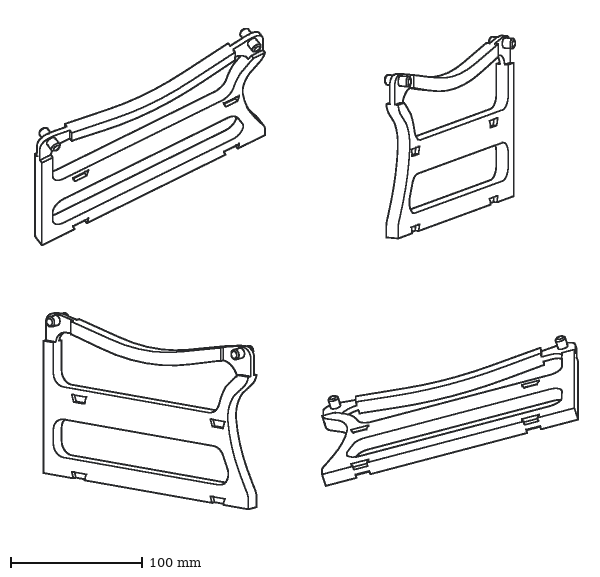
import cadquery as cq

length = 200.0
height = 125.0
thickness = 10.2
edge_width = 9.8
corner_radius = 8.0
mid_y = length / 2

shoulder_y = 14.8
shoulder_z = 124.5
shoulder_mid_y = (corner_radius + shoulder_y) / 2
shoulder_mid_z = height - (height - shoulder_z) / 4
bar_end_y = 26.8
bar_end_z = 122.2
sag_half_width = 34.0
sag_edge_z = 113.5
sag_mid_z = 109.8
bar_underside_z = 111.8
underside_start_y = 28.5
underside_half_width = 44.0
underside_edge_z = 105.2
underside_mid_z = 99.8

foot_start = (length, 8.8)
foot_mid = (199.2, 11.8)
foot_end = (197.2, 15.5)
slope_end = (191.0, 28.0)
hollow_lower_mid = (183.8, 46.8)
hollow_deepest = (180.0, 66.5)
hollow_upper_mid = (181.2, 77.2)
hollow_end = (186.2, 86.8)
nose_start = (195.2, 94.8)
nose_mid = (198.5, 98.8)

window_radius = 9.8
upper_window_z = 70.0
floor_end_y = 162.0
floor_fillet_mid = (168.0, 72.8)
floor_fillet_end = (171.5, 78.0)
inner_wall_mid = (174.0, 85.5)
inner_wall_end = (177.8, 92.5)
far_corner_mid = (182.0, 108.2)
far_corner_end_y = 173.5
lower_window_z = 15.0
lower_window_top_z = 44.5
lower_window_top_y = 172.5
lower_window_bottom_y = 185.5

tongue_thickness = 4.2
ledge_z = 103.2
ledge_end_y = 189.5
tongue_junction = (186.5, 100.8)
pin_inset = 10.0
pin_z = 120.0
pin_diameter = 7.8
pin_length = 20.0
pin_chamfer = 1.2

recess_depth = 3.0
recess_height = 5.5
recess_top_width = 14.0
recess_bottom_width = 10.5
recess_centers_y = (34.8, 170.0)
recess_tops_z = (5.0, 65.2)


def extrude_through(profile, width):
    """Extrude a YZ profile symmetrically about X = 0."""
    return profile.extrude(width / 2, both=True)


def make_plate():
    """Full-thickness silhouette with a curved front edge at high Y."""
    profile = (
        cq.Workplane("YZ")
        .lineTo(length, 0)
        .lineTo(*foot_start)
        .threePointArc(foot_mid, foot_end)
        .lineTo(*slope_end)
        .threePointArc(hollow_lower_mid, hollow_deepest)
        .threePointArc(hollow_upper_mid, hollow_end)
        .lineTo(*nose_start)
        .threePointArc(nose_mid, (length, ledge_z))
        .lineTo(length, height - corner_radius)
        .radiusArc((length - corner_radius, height), -corner_radius)
        .threePointArc((length - shoulder_mid_y, shoulder_mid_z), (length - shoulder_y, shoulder_z))
        .lineTo(length - bar_end_y, bar_end_z)
        .lineTo(mid_y + sag_half_width, sag_edge_z)
        .threePointArc((mid_y, sag_mid_z), (mid_y - sag_half_width, sag_edge_z))
        .lineTo(bar_end_y, bar_end_z)
        .lineTo(shoulder_y, shoulder_z)
        .threePointArc((shoulder_mid_y, shoulder_mid_z), (corner_radius, height))
        .radiusArc((0, height - corner_radius), -corner_radius)
        .close()
    )
    return extrude_through(profile, thickness)


def make_upper_window():
    """Hand opening bounded above by the grip bar."""
    inner_y = edge_width + window_radius
    profile = (
        cq.Workplane("YZ")
        .moveTo(inner_y, upper_window_z)
        .lineTo(floor_end_y, upper_window_z)
        .threePointArc(floor_fillet_mid, floor_fillet_end)
        .threePointArc(inner_wall_mid, inner_wall_end)
        .lineTo(*tongue_junction)
        .threePointArc(far_corner_mid, (far_corner_end_y, bar_underside_z))
        .lineTo(length - underside_start_y, bar_underside_z)
        .lineTo(mid_y + underside_half_width, underside_edge_z)
        .threePointArc((mid_y, underside_mid_z), (mid_y - underside_half_width, underside_edge_z))
        .lineTo(underside_start_y, bar_underside_z)
        .lineTo(inner_y, bar_underside_z)
        .radiusArc((edge_width, bar_underside_z - window_radius), -window_radius)
        .lineTo(edge_width, upper_window_z + window_radius)
        .radiusArc((inner_y, upper_window_z), -window_radius)
        .close()
    )
    return extrude_through(profile, thickness)


def make_lower_window():
    """Rounded opening with one slanted end."""
    profile = cq.Workplane("YZ").polyline([
        (edge_width, lower_window_z),
        (lower_window_bottom_y, lower_window_z),
        (lower_window_top_y, lower_window_top_z),
        (edge_width, lower_window_top_z),
    ]).close()
    return extrude_through(profile, thickness).edges("|X").fillet(window_radius)


def make_side_layers(profile, depth):
    """Cutters of a given depth reaching in from both plate faces."""
    core = cq.Workplane("XY").box(thickness - 2 * depth, 3 * length, 3 * height)
    return extrude_through(profile, thickness).cut(core)


def make_tongue_relief():
    """Side material removed around the two pin tongues."""
    depth = (thickness - tongue_thickness) / 2
    near_profile = cq.Workplane("YZ").polyline([
        (0, ledge_z), (bar_end_y, ledge_z), (bar_end_y, height), (0, height),
    ]).close()
    far_profile = cq.Workplane("YZ").polyline([
        (length, ledge_z), (ledge_end_y, ledge_z), tongue_junction,
        (length - bar_end_y, tongue_junction[1]), (length - bar_end_y, height), (length, height),
    ]).close()
    return make_side_layers(near_profile, depth).union(make_side_layers(far_profile, depth))


def make_recess(center_y, top_z):
    """Trapezoidal pocket, wider at its top, in both plate faces."""
    bottom_z = top_z - recess_height
    profile = cq.Workplane("YZ").polyline([
        (center_y - recess_top_width / 2, top_z),
        (center_y + recess_top_width / 2, top_z),
        (center_y + recess_bottom_width / 2, bottom_z),
        (center_y - recess_bottom_width / 2, bottom_z),
    ]).close()
    return make_side_layers(profile, recess_depth)


def make_pin(center_y):
    """Chamfered cross pin."""
    profile = cq.Workplane("YZ").center(center_y, pin_z).circle(pin_diameter / 2)
    return extrude_through(profile, pin_length).faces("<X or >X").chamfer(pin_chamfer)


result = make_plate().cut(make_upper_window()).cut(make_lower_window()).cut(make_tongue_relief())

for recess_y in recess_centers_y:
    for recess_z in recess_tops_z:
        result = result.cut(make_recess(recess_y, recess_z))

for pin_y in (pin_inset, length - pin_inset):
    result = result.union(make_pin(pin_y))